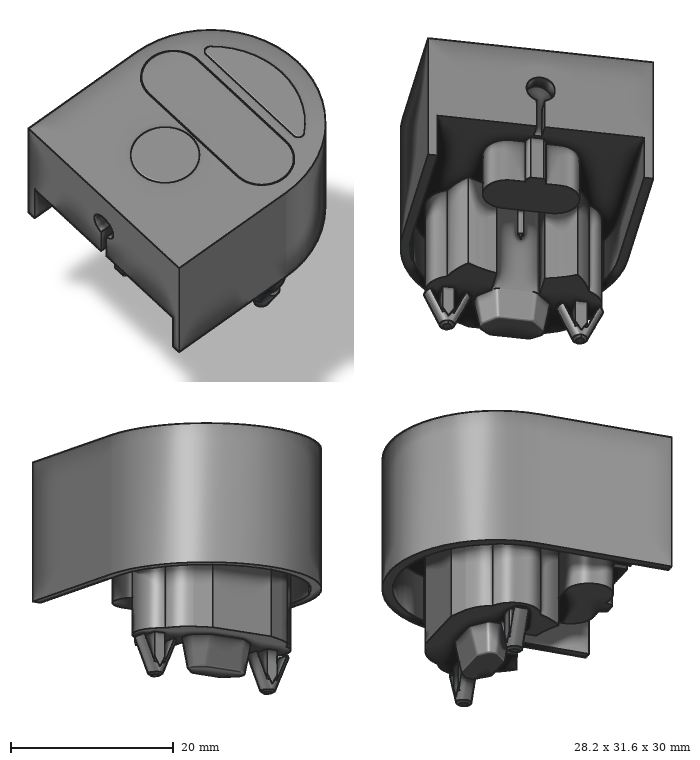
import cadquery as cq
import math


HOUSING_RADIUS = 14.1
HOUSING_HEIGHT = 17.6
FRONT_Y = -17.5
WALL = 1.17
POCKET_HEIGHT = 6.05
POCKET_RADIUS = HOUSING_RADIUS - WALL
BACK_STEP_Y = 4.85
BACK_STEP = 0.13

KEYHOLE_DEPTH = 2.0
KEYHOLE_RADIUS = 1.77
KEYHOLE_Z = 11.7
KEYHOLE_SLOT_WIDTH = 1.0

POST_RADIUS = 3.0
POST_LENGTH = 4 * POST_RADIUS
POST_Y = -11.0
POST_NOSE_RADIUS = 1.3
POST_NOSE_LENGTH = 1.0
PIN_Y = -3.98
PIN_RADIUS = 0.35
PIN_BOTTOM = -0.8
PIN_TIP_RADIUS = 0.22
PIN_TIP_LENGTH = 0.73

INSERT_DEPTH = 2.0
KEY_RAISE = 0.13
KEY_FILLET = 0.2
ROUND_KEY_RADIUS = 4.25
ROUND_KEY_Y = -7.5
CURVED_KEY_RADIUS = 11.55
CURVED_KEY_FRONT_Y = 6.35
CURVED_KEY_CORNER = 0.73
SCREEN_Y = 1.07
SCREEN_LENGTH = 24.52
SCREEN_WIDTH = 8.03
SCREEN_GAP = 0.1

MOUNT_BOTTOM = -6.98
MOUNT_RADIUS = 9.48
MOUNT_Y = 1.15
MOUNT_FRONT_X = 6.73
MOUNT_SHOULDER_Y = 4.42
SHOULDER_RADIUS = 5.05
SHOULDER_END = (6.55, 6.83)
MOUNT_BACK = (4.3, 7.77)
BAY_RADIUS = 13.87
EAR_X = 7.5
EAR_RADIUS = 3.5
PLUG_SLOT_WIDTH = 6.0

CLIP_X = 8.3
CLIP_Y = 1.0
CLIP_BOTTOM = -12.25
CLIP_CHAMFER = 0.3
STEM_WIDTH = 1.5
STEM_POINT_START = -10.1
STEM_POINT_END = -11.3
BARB_RADIUS = 1.0
BARB_ANGLE = 24.5
BARB_THICKNESS = 0.7
BARB_FOOT_X = 0.8
BARB_LENGTH = 5.02
BARB_GAP_BOTTOM = -10.75

PLUG_BOTTOM = -10.93
PLUG_FRONT = (2.45, -0.9)
PLUG_SIDE_X = 4.65
PLUG_SIDE_BACK_Y = 2.95
PLUG_BACK = (2.4, 4.68)
PLUG_CORNER = 0.9
PLUG_TAPER = 10
PLUG_BACK_TAPER = 14
PLUG_BOTTOM_FILLET = 0.32


def round_key_shape(bottom, height):
    return cq.Workplane("XY", origin=(0, ROUND_KEY_Y, bottom)).circle(ROUND_KEY_RADIUS).extrude(height)


def curved_key_shape(bottom, height):
    half_chord = math.sqrt(CURVED_KEY_RADIUS**2 - CURVED_KEY_FRONT_Y**2)
    shape = (
        cq.Workplane("XY", origin=(0, 0, bottom))
        .moveTo(-half_chord, CURVED_KEY_FRONT_Y)
        .threePointArc((0, CURVED_KEY_RADIUS), (half_chord, CURVED_KEY_FRONT_Y))
        .close()
        .extrude(height)
    )
    return shape.edges("|Z").fillet(CURVED_KEY_CORNER)


def screen_shape(clearance):
    return (
        cq.Workplane("XY", origin=(0, SCREEN_Y, HOUSING_HEIGHT - INSERT_DEPTH))
        .slot2D(SCREEN_LENGTH - 2 * clearance, SCREEN_WIDTH - 2 * clearance)
        .extrude(INSERT_DEPTH)
    )


def domed_prism(radius, height):
    """Half disc around the Z axis with straight flanks running to the front face."""
    return (
        cq.Workplane("XY")
        .moveTo(-radius, FRONT_Y)
        .lineTo(-radius, 0)
        .threePointArc((0, radius), (radius, 0))
        .lineTo(radius, FRONT_Y)
        .close()
        .extrude(height)
    )


def pocket_shape():
    """Open-fronted recess whose wall thickens by a small step towards the back of the dome."""
    front_part = domed_prism(POCKET_RADIUS, POCKET_HEIGHT)
    behind_step = (
        cq.Workplane("XY")
        .box(2 * POCKET_RADIUS, POCKET_RADIUS, POCKET_HEIGHT, centered=(True, False, False))
        .translate((0, BACK_STEP_Y, 0))
    )
    return front_part.cut(behind_step).union(domed_prism(POCKET_RADIUS - BACK_STEP, POCKET_HEIGHT))


def keyhole_shape():
    front_plane = cq.Workplane("XZ", origin=(0, FRONT_Y, 0))
    hole = front_plane.center(0, KEYHOLE_Z).circle(KEYHOLE_RADIUS).extrude(-KEYHOLE_DEPTH)
    slot_length = KEYHOLE_Z - POCKET_HEIGHT
    slot = (
        front_plane.center(0, POCKET_HEIGHT + slot_length / 2)
        .rect(KEYHOLE_SLOT_WIDTH, slot_length)
        .extrude(-KEYHOLE_DEPTH)
    )
    return hole.union(slot)


def rounded_post():
    post = (
        cq.Workplane("XY", origin=(0, POST_Y, 0))
        .slot2D(POST_LENGTH, 2 * POST_RADIUS)
        .extrude(POCKET_HEIGHT)
    )
    face_y = POST_Y - POST_RADIUS
    nose = cq.Workplane("XY", origin=(0, face_y, 0)).circle(POST_NOSE_RADIUS).extrude(POCKET_HEIGHT)
    nose_limit = (
        cq.Workplane("XY", origin=(0, face_y, 0))
        .rect(2 * POST_NOSE_RADIUS, 2 * POST_NOSE_LENGTH)
        .extrude(POCKET_HEIGHT)
    )
    return post.union(nose.intersect(nose_limit))


def pin():
    return (
        cq.Workplane("XZ", origin=(0, PIN_Y, 0))
        .moveTo(0, POCKET_HEIGHT)
        .lineTo(PIN_RADIUS, POCKET_HEIGHT)
        .lineTo(PIN_RADIUS, PIN_BOTTOM)
        .lineTo(PIN_TIP_RADIUS, PIN_BOTTOM)
        .lineTo(0, PIN_BOTTOM - PIN_TIP_LENGTH)
        .close()
        .revolve(360, (0, 0, 0), (0, 1, 0))
    )


def make_housing():
    insert_floor = HOUSING_HEIGHT - INSERT_DEPTH
    return (
        domed_prism(HOUSING_RADIUS, HOUSING_HEIGHT)
        .cut(pocket_shape())
        .cut(keyhole_shape())
        .cut(round_key_shape(insert_floor, INSERT_DEPTH))
        .cut(curved_key_shape(insert_floor, INSERT_DEPTH))
        .cut(screen_shape(0))
        .union(rounded_post())
        .union(pin())
    )


def make_key(shape):
    key = shape(HOUSING_HEIGHT - INSERT_DEPTH, INSERT_DEPTH + KEY_RAISE)
    return key.faces(">Z").edges().fillet(KEY_FILLET)


def plug_outline():
    """Eight-sided sharp outline with 45 degree front flanks, at the level of the mount bottom."""
    front_x, front_y = PLUG_FRONT
    right_half = [
        PLUG_FRONT,
        (PLUG_SIDE_X, front_y + PLUG_SIDE_X - front_x),
        (PLUG_SIDE_X, PLUG_SIDE_BACK_Y),
        PLUG_BACK,
    ]
    left_half = [(-x, y) for x, y in reversed(right_half)]
    return cq.Workplane("XY", origin=(0, 0, MOUNT_BOTTOM)).polyline(right_half + left_half).close()


def plug_shank():
    shank = plug_outline().extrude(POCKET_HEIGHT - MOUNT_BOTTOM)
    return shank.edges("|Z").fillet(PLUG_CORNER)


def plug_tip():
    """Tapered end below the mount, whose back face leans in further."""
    tip_height = MOUNT_BOTTOM - PLUG_BOTTOM
    tip = plug_outline().extrude(-tip_height, taper=PLUG_TAPER)
    back_y = PLUG_BACK[1]
    back_wedge = (
        cq.Workplane("YZ")
        .moveTo(back_y, MOUNT_BOTTOM)
        .lineTo(back_y - tip_height * math.tan(math.radians(PLUG_BACK_TAPER)), PLUG_BOTTOM)
        .lineTo(back_y, PLUG_BOTTOM)
        .close()
        .extrude(PLUG_SIDE_X, both=True)
    )
    tip = tip.cut(back_wedge)
    tip = tip.edges("not(<Z or >Z or #Z)").fillet(PLUG_CORNER)
    return tip.faces("<Z").edges().fillet(PLUG_BOTTOM_FILLET)


def make_plug():
    return plug_shank().union(plug_tip())


def shoulder_middle(start, end):
    """Middle of the outward arc of SHOULDER_RADIUS between two points on the +X side."""
    chord_x = end[0] - start[0]
    chord_y = end[1] - start[1]
    chord = math.hypot(chord_x, chord_y)
    rise = SHOULDER_RADIUS - math.sqrt(SHOULDER_RADIUS**2 - chord**2 / 4)
    middle_x = (start[0] + end[0]) / 2 + rise * chord_y / chord
    middle_y = (start[1] + end[1]) / 2 - rise * chord_x / chord
    return middle_x, middle_y


def mount_core():
    shoulder_x = math.sqrt(MOUNT_RADIUS**2 - (MOUNT_SHOULDER_Y - MOUNT_Y) ** 2)
    shoulder = (shoulder_x, MOUNT_SHOULDER_Y)
    front = (MOUNT_FRONT_X, MOUNT_Y - math.sqrt(MOUNT_RADIUS**2 - MOUNT_FRONT_X**2))
    right_half = (
        cq.Workplane("XY", origin=(0, 0, MOUNT_BOTTOM))
        .moveTo(0, front[1])
        .lineTo(*front)
        .threePointArc((MOUNT_RADIUS, MOUNT_Y), shoulder)
        .threePointArc(shoulder_middle(shoulder, SHOULDER_END), SHOULDER_END)
        .lineTo(*MOUNT_BACK)
        .lineTo(0, MOUNT_BACK[1])
        .close()
        .extrude(POCKET_HEIGHT - MOUNT_BOTTOM)
    )
    return right_half.union(right_half.mirror("YZ"))


def vertical_cylinder(x, y, radius):
    height = POCKET_HEIGHT - MOUNT_BOTTOM
    return cq.Workplane("XY", origin=(x, y, MOUNT_BOTTOM)).circle(radius).extrude(height)


def plug_slot():
    """Opening from the front bay back to the plug."""
    height = POCKET_HEIGHT - MOUNT_BOTTOM
    return (
        cq.Workplane("XY", origin=(0, FRONT_Y, MOUNT_BOTTOM))
        .box(PLUG_SLOT_WIDTH, -FRONT_Y, height, centered=(True, False, False))
    )


def barb():
    """Half of the arrow head on the +X side: a leaning round bar with its inside cut flat."""
    lean = math.radians(BARB_ANGLE)
    foot_lead = 2 * BARB_RADIUS
    bar = (
        cq.Workplane("XY", origin=(-BARB_RADIUS, 0, -foot_lead))
        .circle(BARB_RADIUS)
        .extrude(foot_lead + BARB_LENGTH)
        .rotate((0, 0, 0), (0, 1, 0), BARB_ANGLE)
        .translate((BARB_FOOT_X, 0, CLIP_BOTTOM))
    )
    keep_height = MOUNT_BOTTOM - CLIP_BOTTOM
    keep_width = BARB_FOOT_X + BARB_LENGTH
    keep = (
        cq.Workplane("XY", origin=(0, 0, CLIP_BOTTOM))
        .box(keep_width, 2 * BARB_RADIUS, keep_height, centered=(False, True, False))
    )
    inner_foot_x = BARB_FOOT_X - BARB_THICKNESS / math.cos(lean)
    gap_bottom_x = inner_foot_x + (BARB_GAP_BOTTOM - CLIP_BOTTOM) * math.tan(lean)
    gap_top_x = inner_foot_x + keep_height * math.tan(lean)
    gap = (
        cq.Workplane("XZ")
        .moveTo(0, BARB_GAP_BOTTOM)
        .lineTo(gap_bottom_x, BARB_GAP_BOTTOM)
        .lineTo(gap_top_x, MOUNT_BOTTOM)
        .lineTo(0, MOUNT_BOTTOM)
        .close()
        .extrude(BARB_RADIUS, both=True)
    )
    return bar.intersect(keep).cut(gap)


def clip():
    half_stem = STEM_WIDTH / 2
    stem = (
        cq.Workplane("XZ")
        .moveTo(-half_stem, MOUNT_BOTTOM)
        .lineTo(-half_stem, STEM_POINT_START)
        .lineTo(0, STEM_POINT_END)
        .lineTo(half_stem, STEM_POINT_START)
        .lineTo(half_stem, MOUNT_BOTTOM)
        .close()
        .extrude(BARB_RADIUS, both=True)
    )
    head = barb().union(barb().mirror("YZ"))
    head = head.faces("<Z").edges().chamfer(CLIP_CHAMFER)
    return head.union(stem)


def make_mount():
    mount = mount_core()
    for side in (-1, 1):
        mount = mount.union(vertical_cylinder(side * EAR_X, CLIP_Y, EAR_RADIUS))
    mount = mount.cut(vertical_cylinder(0, FRONT_Y, BAY_RADIUS)).cut(plug_slot()).cut(plug_shank())
    for side in (-1, 1):
        mount = mount.union(clip().translate((side * CLIP_X, CLIP_Y, 0)))
    return mount


housing = make_housing()
round_key = make_key(round_key_shape)
curved_key = make_key(curved_key_shape)
screen = screen_shape(SCREEN_GAP)
mount = make_mount()
plug = make_plug()

result = cq.Compound.makeCompound(
    [housing.val(), round_key.val(), curved_key.val(), screen.val(), mount.val(), plug.val()]
)